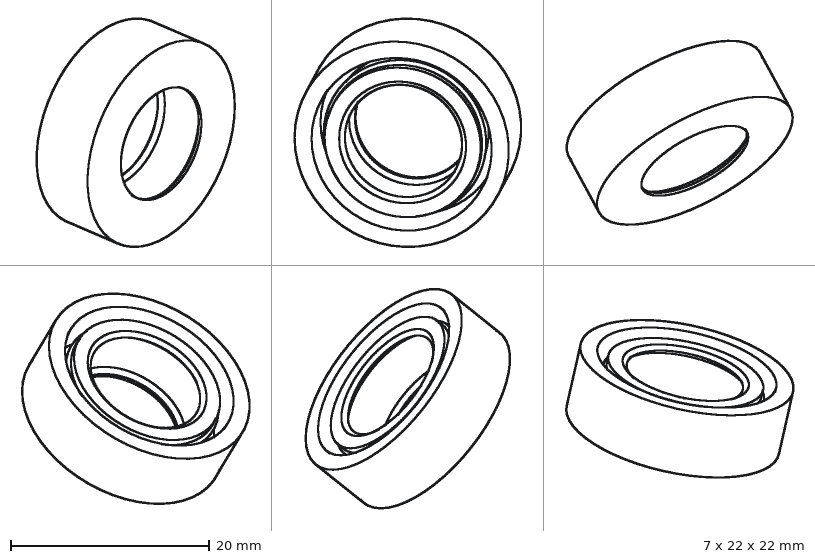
import cadquery as cq

outer_radius = 11.0
width = 7.0
front_x = -width / 2
back_x = width / 2

wall_thickness = 1.75
back_plate_thickness = 1.98
pocket_radius = outer_radius - wall_thickness
floor_x = back_x - back_plate_thickness

sleeve_setback = 0.57
sleeve_front_x = front_x + sleeve_setback
sleeve_radius = 8.0
bore_radius = 6.51

lip_height = 0.5
lip_radius = bore_radius - lip_height
lip_lead_in = 0.45
lip_x = sleeve_front_x + lip_lead_in
lip_rear_x = lip_x + lip_height
back_lip_width = 0.35
back_lip_x = back_x - back_lip_width
back_cone_x = back_lip_x - lip_height

spring_wire_radius = 0.5
spring_projection = 0.33
spring_setback = 1.28
spring_x = sleeve_front_x + spring_setback
spring_ring_radius = sleeve_radius + spring_projection - spring_wire_radius


def revolve_about_x(profile):
    """Revolve a closed (axial, radial) profile about the X axis."""
    return profile.revolve(360, (0, 0, 0), (1, 0, 0))


def make_spring():
    """Torus around the sealing sleeve."""
    return revolve_about_x(
        cq.Workplane("XY").moveTo(spring_x, spring_ring_radius).circle(spring_wire_radius)
    )


def make_seal_body():
    """Outer wall, back plate and lipped sleeve in one profile, with a groove for the spring."""
    profile = [
        (front_x, outer_radius),
        (back_x, outer_radius),
        (back_x, lip_radius),
        (back_lip_x, lip_radius),
        (back_cone_x, bore_radius),
        (lip_rear_x, bore_radius),
        (lip_x, lip_radius),
        (sleeve_front_x, bore_radius),
        (sleeve_front_x, sleeve_radius),
        (floor_x, sleeve_radius),
        (floor_x, pocket_radius),
        (front_x, pocket_radius),
    ]
    body = revolve_about_x(cq.Workplane("XY").polyline(profile).close())
    return body.cut(make_spring())


seal_body = make_seal_body()
garter_spring = make_spring()

result = cq.Compound.makeCompound([seal_body.val(), garter_spring.val()])